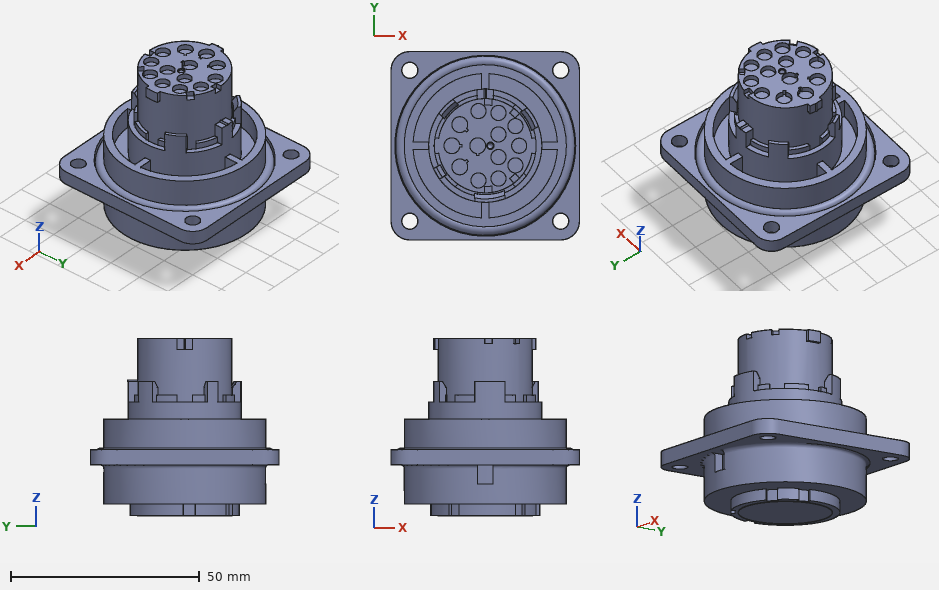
import cadquery as cq
import math

Z_COLLAR_BOTTOM = 0.15
Z_SHELL_BOTTOM = 3.2
Z_FLANGE_BOTTOM = 13.6
Z_FLANGE_TOP = 17.65
Z_MOAT_FLOOR = 19.6
Z_SHELL_TOP = 25.7
Z_SLEEVE_TOP = 30.3
Z_STEP_TOP = 32.05
Z_TAB_TOP = 35.7
Z_INSERT_TOP = 47.1

FLANGE_SIDE = 50.0
FLANGE_CORNER_R = 5.0
MOUNT_HOLE_D = 4.2
MOUNT_HOLE_PITCH = 40.0

SHELL_D = 43.0
SHELL_BORE_D = 38.3
SHELL_FILLET = 1.0
WEB_WIDTH = 1.9
WINDOW_WIDTH = 4.0
WINDOW_BOTTOM_Z = 8.45

GROOVE_D = 48.0
GROOVE_DEPTH = 2.4
O_RING_CORD_D = 3.0
O_RING_CENTER_D = 44.5
O_RING_STAND_PROUD = 0.4

SLEEVE_D = 30.0
STEP_D = 27.0
KEYWAY_WIDTH = 4.1
KEYWAY_COUNT = 8
TAB_INNER_R = 12.95
TAB_CHAMFER_RADIAL = 1.15
TAB_CHAMFER_HEIGHT = 1.65
TABS = [(31.0, 5.75), (135.0, 5.2), (210.0, 3.2), (275.0, 8.0)]
BLOCK_WIDTH = 4.25
BLOCK_INNER_Y = 12.4
BLOCK_RIDGE_WIDTH = 0.75
BLOCK_RIDGE_HEIGHT = 0.4
BLOCK_RIDGE_OVERHANG = 0.15

INSERT_D = 25.0
KEY_WIDTH = 4.0
KEY_HEIGHT = 3.0
KEY_OUTER_D = STEP_D
KEY_RIDGE_WIDTH = 0.45
KEY_RIDGE_HEIGHT = 0.25
NOTCH_WIDTH = 2.0
NOTCH_DEPTH = 1.4
NOTCH_FLOOR_R = 10.8
NOTCH_ANGLES = [48.0, 86.0, -86.0, -48.0]

CAVITY_DEPTH = 1.5
SMALL_CAVITY_D = 4.0
SMALL_CAVITIES = [
    (9.0, 0.0),
    (8.0, 5.2), (8.0, -5.2),
    (3.5, 8.7), (3.5, -8.7),
    (3.5, 3.0), (3.5, -3.0),
    (-1.8, 9.2), (-1.8, -9.2),
]
LARGE_CAVITY_D = 4.2
LARGE_CAVITIES = [(-2.0, 0.0, -90.0), (-8.85, 0.0, 0.0), (-6.75, 5.6, -40.0), (-6.75, -5.6, 40.0)]
CAVITY_SLOT_WIDTH = 0.7
CAVITY_SLOT_REACH = 2.65
DIMPLE_X = 1.35
DIMPLE_RIM_D = 1.95
DIMPLE_RIM_DEPTH = 0.4
DIMPLE_CONE_D = 1.57
DIMPLE_CONE_DEPTH = 0.8

COLLAR_D = 29.0
RECESS_WIDTH = 3.2
RECESS_DEPTH = 1.15
RECESS_ANGLES = [-15.0, 185.0, 235.0, 310.0]


def disc(diameter, z_bottom, z_top):
    """Cylinder on the Z axis."""
    return cq.Workplane("XY").workplane(offset=z_bottom).circle(diameter / 2).extrude(z_top - z_bottom)


def tube(outer_d, inner_d, z_bottom, z_top):
    """Hollow cylinder on the Z axis."""
    return disc(outer_d, z_bottom, z_top).cut(disc(inner_d, z_bottom, z_top))


def radial_bar(angle, width, r_inner, r_outer, z_bottom, z_top):
    """Rectangular bar that points outward from the Z axis in the given direction."""
    length = r_outer - r_inner
    bar = cq.Workplane("XY").box(length, width, z_top - z_bottom, centered=(False, True, False))
    return bar.translate((r_inner, 0, z_bottom)).rotate((0, 0, 0), (0, 0, 1), angle)


def make_flange():
    """Square flange with four mounting holes and an O-ring groove in its top face."""
    thickness = Z_FLANGE_TOP - Z_FLANGE_BOTTOM
    flange = (
        cq.Workplane("XY")
        .workplane(offset=Z_FLANGE_BOTTOM)
        .rect(FLANGE_SIDE, FLANGE_SIDE)
        .extrude(thickness)
        .edges("|Z")
        .fillet(FLANGE_CORNER_R)
    )
    holes = (
        cq.Workplane("XY")
        .workplane(offset=Z_FLANGE_BOTTOM)
        .rect(MOUNT_HOLE_PITCH, MOUNT_HOLE_PITCH, forConstruction=True)
        .vertices()
        .circle(MOUNT_HOLE_D / 2)
        .extrude(thickness)
    )
    groove = tube(GROOVE_D, SHELL_D, Z_FLANGE_TOP - GROOVE_DEPTH, Z_FLANGE_TOP)
    return flange.cut(holes).cut(groove)


def make_shell():
    """Round shell with an open moat at the top and a fillet under the flange."""
    shell = disc(SHELL_D, Z_SHELL_BOTTOM, Z_SHELL_TOP)
    shell = shell.cut(disc(SHELL_BORE_D, Z_MOAT_FLOOR, Z_SHELL_TOP))
    r = SHELL_D / 2
    arc_drop = SHELL_FILLET * (1 - math.sqrt(0.5))
    fillet = (
        cq.Workplane("XZ")
        .moveTo(r - SHELL_FILLET, Z_FLANGE_BOTTOM)
        .lineTo(r + SHELL_FILLET, Z_FLANGE_BOTTOM)
        .threePointArc(
            (r + arc_drop, Z_FLANGE_BOTTOM - arc_drop),
            (r, Z_FLANGE_BOTTOM - SHELL_FILLET),
        )
        .lineTo(r - SHELL_FILLET, Z_FLANGE_BOTTOM - SHELL_FILLET)
        .close()
        .revolve(360, (0, 0, 0), (0, 1, 0))
    )
    return shell.union(fillet)


def make_webs():
    """Four ribs across the moat, flush with the shell rim."""
    r_inner = (SLEEVE_D + STEP_D) / 4
    r_outer = (SHELL_BORE_D + SHELL_D) / 4
    webs = cq.Workplane("XY")
    for angle in (0, 90, 180, 270):
        webs = webs.add(radial_bar(angle, WEB_WIDTH, r_inner, r_outer, Z_MOAT_FLOOR, Z_SHELL_TOP))
    return webs.combine()


def make_window():
    """Cutter for the window in the shell wall under the flange, on the -Y side."""
    bar = radial_bar(270, WINDOW_WIDTH, 0, FLANGE_SIDE / 2, WINDOW_BOTTOM_Z, Z_FLANGE_BOTTOM)
    return bar.cut(disc(SHELL_BORE_D, WINDOW_BOTTOM_Z, Z_FLANGE_BOTTOM))


def make_o_ring():
    """O-ring that stands slightly proud of the flange face."""
    z_center = Z_FLANGE_TOP + O_RING_STAND_PROUD - O_RING_CORD_D / 2
    return (
        cq.Workplane("XZ")
        .center(O_RING_CENTER_D / 2, z_center)
        .circle(O_RING_CORD_D / 2)
        .revolve(360, (-O_RING_CENTER_D / 2, 0, 0), (-O_RING_CENTER_D / 2, 1, 0))
    )


def make_sleeve():
    """Sleeve with a low stepped rim, and evenly spaced keyways down through both."""
    sleeve = disc(SLEEVE_D, Z_MOAT_FLOOR, Z_SLEEVE_TOP).union(disc(STEP_D, Z_SLEEVE_TOP, Z_STEP_TOP))
    keyway_reach = disc(STEP_D, Z_MOAT_FLOOR, Z_STEP_TOP)
    for i in range(KEYWAY_COUNT):
        angle = i * 360 / KEYWAY_COUNT
        bar = radial_bar(angle, KEYWAY_WIDTH, 0, STEP_D, Z_MOAT_FLOOR, Z_STEP_TOP)
        sleeve = sleeve.cut(bar.intersect(keyway_reach))
    return sleeve


def make_tabs():
    """Tabs that stand on the sleeve, each with a sloped inner top edge."""
    r_outer = SLEEVE_D / 2
    ring = (
        cq.Workplane("XZ")
        .polyline([
            (TAB_INNER_R, Z_SLEEVE_TOP),
            (r_outer, Z_SLEEVE_TOP),
            (r_outer, Z_TAB_TOP),
            (TAB_INNER_R + TAB_CHAMFER_RADIAL, Z_TAB_TOP),
            (TAB_INNER_R, Z_TAB_TOP - TAB_CHAMFER_HEIGHT),
        ])
        .close()
        .revolve(360, (0, 0, 0), (0, 1, 0))
    )
    sectors = cq.Workplane("XY")
    for angle, width in TABS:
        sectors = sectors.add(radial_bar(angle, width, TAB_INNER_R / 2, SLEEVE_D, Z_SLEEVE_TOP, Z_TAB_TOP))
    return ring.intersect(sectors.combine())


def make_block():
    """Main polarising block on the +Y side, with a marker ridge along its top."""
    block = radial_bar(90, BLOCK_WIDTH, BLOCK_INNER_Y, SLEEVE_D, Z_SLEEVE_TOP, Z_TAB_TOP)
    block = block.intersect(disc(SLEEVE_D, Z_SLEEVE_TOP, Z_TAB_TOP))
    ridge_end_y = SLEEVE_D / 2 + BLOCK_RIDGE_OVERHANG
    ridge = (
        cq.Workplane("XZ", origin=(0, ridge_end_y, 0))
        .polyline([
            (-BLOCK_RIDGE_WIDTH / 2, Z_TAB_TOP),
            (BLOCK_RIDGE_WIDTH / 2, Z_TAB_TOP),
            (0, Z_TAB_TOP + BLOCK_RIDGE_HEIGHT),
        ])
        .close()
        .extrude(ridge_end_y - BLOCK_INNER_Y)
    )
    return block.union(ridge)


def make_insert():
    """Central insert with two side keys and edge notches at its top."""
    insert = disc(INSERT_D, 0, Z_INSERT_TOP)
    key_bottom = Z_INSERT_TOP - KEY_HEIGHT
    keys = radial_bar(0, KEY_WIDTH, -KEY_OUTER_D, KEY_OUTER_D, key_bottom, Z_INSERT_TOP)
    keys = keys.intersect(disc(KEY_OUTER_D, key_bottom, Z_INSERT_TOP))
    key_r = KEY_OUTER_D / 2
    ridge = (
        cq.Workplane("XY")
        .workplane(offset=key_bottom)
        .polyline([
            (-INSERT_D / 2, KEY_RIDGE_WIDTH / 2),
            (-key_r, KEY_RIDGE_WIDTH / 2),
            (-key_r - KEY_RIDGE_HEIGHT, 0),
            (-key_r, -KEY_RIDGE_WIDTH / 2),
            (-INSERT_D / 2, -KEY_RIDGE_WIDTH / 2),
        ])
        .close()
        .extrude(KEY_HEIGHT)
    )
    insert = insert.union(keys).union(ridge)
    for angle in NOTCH_ANGLES:
        notch = radial_bar(
            angle, NOTCH_WIDTH, NOTCH_FLOOR_R, INSERT_D, Z_INSERT_TOP - NOTCH_DEPTH, Z_INSERT_TOP
        )
        insert = insert.cut(notch)
    return insert


def cut_cavities(insert):
    """Sink the contact cavities and the small stepped dimple into the insert's top."""
    floor = Z_INSERT_TOP - CAVITY_DEPTH
    for x, y in SMALL_CAVITIES:
        insert = insert.cut(disc(SMALL_CAVITY_D, floor, Z_INSERT_TOP).translate((x, y, 0)))
    for x, y, slot_angle in LARGE_CAVITIES:
        cavity = disc(LARGE_CAVITY_D, floor, Z_INSERT_TOP)
        slot = radial_bar(slot_angle, CAVITY_SLOT_WIDTH, 0, CAVITY_SLOT_REACH, floor, Z_INSERT_TOP)
        insert = insert.cut(cavity.union(slot).translate((x, y, 0)))
    rim_floor = Z_INSERT_TOP - DIMPLE_RIM_DEPTH
    cone = cq.Solid.makeCone(0, DIMPLE_CONE_D / 2, DIMPLE_CONE_DEPTH)
    dimple = disc(DIMPLE_RIM_D, rim_floor, Z_INSERT_TOP)
    dimple = dimple.union(cq.Workplane(cone).translate((0, 0, rim_floor - DIMPLE_CONE_DEPTH)))
    return insert.cut(dimple.translate((DIMPLE_X, 0, 0)))


def make_collar():
    """Collar under the shell with recesses in its outer face."""
    collar = disc(COLLAR_D, Z_COLLAR_BOTTOM, Z_SHELL_BOTTOM)
    r_floor = COLLAR_D / 2 - RECESS_DEPTH
    recess_ring = tube(COLLAR_D, 2 * r_floor, Z_COLLAR_BOTTOM, Z_SHELL_BOTTOM)
    for angle in RECESS_ANGLES:
        bar = radial_bar(angle, RECESS_WIDTH, 0, COLLAR_D, Z_COLLAR_BOTTOM, Z_SHELL_BOTTOM)
        collar = collar.cut(recess_ring.intersect(bar))
    return collar


body = make_shell().union(make_flange()).cut(make_window())
body = body.union(make_webs()).union(make_o_ring())
body = body.union(make_sleeve()).union(make_tabs()).union(make_block())
body = body.union(make_collar())
result = body.union(cut_cavities(make_insert()))